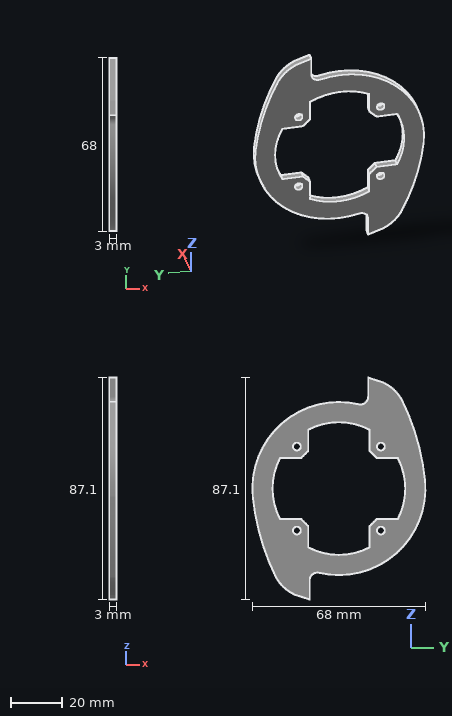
import cadquery as cq
import math

thickness = 3.0
disk_radius = 34.0
bore_radius = 25.95

pad_inner_edge = 11.9
pad_chamfer = 2.9
pad_hole_offset = 16.5
pad_hole_diameter = 3.0

lobe_tip = (11.4, 43.55)
lobe_root_fillet = 3.0
flank_start_height = 3.1
flank_middle = (29.1, 24.4)
flank_end = (24.65, 34.9)
nose_middle = (21.4, 38.9)
nose_end = (17.3, 41.6)


def opposite(point):
    """Turn a (Y, Z) point half a turn about the centre."""
    return (-point[0], -point[1])


def make_outline():
    """Solid blank: two disk arcs joined by the two lobes."""
    flank_start = (math.sqrt(disk_radius**2 - flank_start_height**2), flank_start_height)

    fillet_y = lobe_tip[0] - lobe_root_fillet
    center_distance = disk_radius + lobe_root_fillet
    fillet_z = math.sqrt(center_distance**2 - fillet_y**2)
    fillet_start = (lobe_tip[0], fillet_z)
    shrink = disk_radius / center_distance
    fillet_end = (fillet_y * shrink, fillet_z * shrink)
    middle_angle = math.atan2(-fillet_z, -fillet_y) / 2
    fillet_middle = (
        fillet_y + lobe_root_fillet * math.cos(middle_angle),
        fillet_z + lobe_root_fillet * math.sin(middle_angle),
    )
    disk_angle = math.radians(135)
    disk_middle = (disk_radius * math.cos(disk_angle), disk_radius * math.sin(disk_angle))

    def same(point):
        return point

    outline = cq.Workplane("YZ").moveTo(*flank_start)
    for turn in (same, opposite):
        outline = (
            outline.threePointArc(turn(flank_middle), turn(flank_end))
            .threePointArc(turn(nose_middle), turn(nose_end))
            .lineTo(*turn(lobe_tip))
            .lineTo(*turn(fillet_start))
            .threePointArc(turn(fillet_middle), turn(fillet_end))
            .threePointArc(turn(disk_middle), turn(opposite(flank_start)))
        )
    return outline.close().extrude(thickness / 2, both=True)


def make_opening():
    """Bore with its four corners left uncut to form the pads."""
    bore = cq.Workplane("YZ").circle(bore_radius).extrude(thickness / 2, both=True)
    chamfer_edge = pad_inner_edge + pad_chamfer
    pad = (
        cq.Workplane("YZ")
        .moveTo(pad_inner_edge, chamfer_edge)
        .lineTo(chamfer_edge, pad_inner_edge)
        .lineTo(disk_radius, pad_inner_edge)
        .lineTo(disk_radius, disk_radius)
        .lineTo(pad_inner_edge, disk_radius)
        .close()
        .extrude(thickness / 2, both=True)
    )
    for quarter in range(4):
        bore = bore.cut(pad.rotate((0, 0, 0), (1, 0, 0), 90 * quarter))
    return bore


def make_pad_holes():
    """Through hole in each pad, on a square pattern."""
    spacing = 2 * pad_hole_offset
    return (
        cq.Workplane("YZ")
        .rarray(spacing, spacing, 2, 2)
        .circle(pad_hole_diameter / 2)
        .extrude(thickness / 2, both=True)
    )


result = make_outline().cut(make_opening()).cut(make_pad_holes())